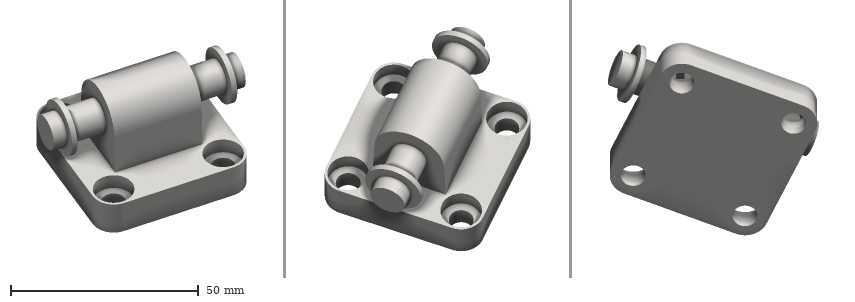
import cadquery as cq
import math

base_side = 45.0
base_height = 10.0
hole_spacing = 32.5
corner_radius = (base_side - hole_spacing) / 2
hole_diameter = 6.6
counterbore_diameter = 11.05
counterbore_depth = 4.5

pin_diameter = 10.0
pin_length = 57.0
ring_diameter = 16.0
ring_thickness = 1.6
ring_end_gap = 4.0

total_height = 32.0
block_length = 25.95
block_foot_width = 21.0
block_top_radius = 10.0
axis_height = total_height - block_top_radius


def make_base():
    plate = cq.Workplane("XY").rect(base_side, base_side).extrude(base_height)
    plate = plate.edges("|Z").fillet(corner_radius)
    return (
        plate.faces(">Z").workplane()
        .rect(hole_spacing, hole_spacing, forConstruction=True).vertices()
        .cboreHole(hole_diameter, counterbore_diameter, counterbore_depth)
    )


def make_block():
    """Block with a round top and flat sides that run tangent into it."""
    half_foot = block_foot_width / 2
    axis_above_base = axis_height - base_height
    foot_distance = math.hypot(half_foot, axis_above_base)
    foot_angle = math.atan2(-axis_above_base, half_foot)
    tangent_angle = foot_angle + math.acos(block_top_radius / foot_distance)
    tangent_x = block_top_radius * math.cos(tangent_angle)
    tangent_z = axis_height + block_top_radius * math.sin(tangent_angle)
    return (
        cq.Workplane("XZ", origin=(0, block_length / 2, 0))
        .moveTo(-half_foot, base_height)
        .lineTo(half_foot, base_height)
        .lineTo(tangent_x, tangent_z)
        .threePointArc((0, total_height), (-tangent_x, tangent_z))
        .close()
        .extrude(block_length)
    )


def make_cylinder(diameter, length, center_y):
    """Cylinder on the pin axis, centred at center_y."""
    return (
        cq.Workplane("XZ", origin=(0, center_y + length / 2, axis_height))
        .circle(diameter / 2)
        .extrude(length)
    )


result = make_base().union(make_block()).union(make_cylinder(pin_diameter, pin_length, 0))

ring_center = pin_length / 2 - ring_end_gap - ring_thickness / 2
for side in (-1, 1):
    result = result.union(make_cylinder(ring_diameter, ring_thickness, side * ring_center))